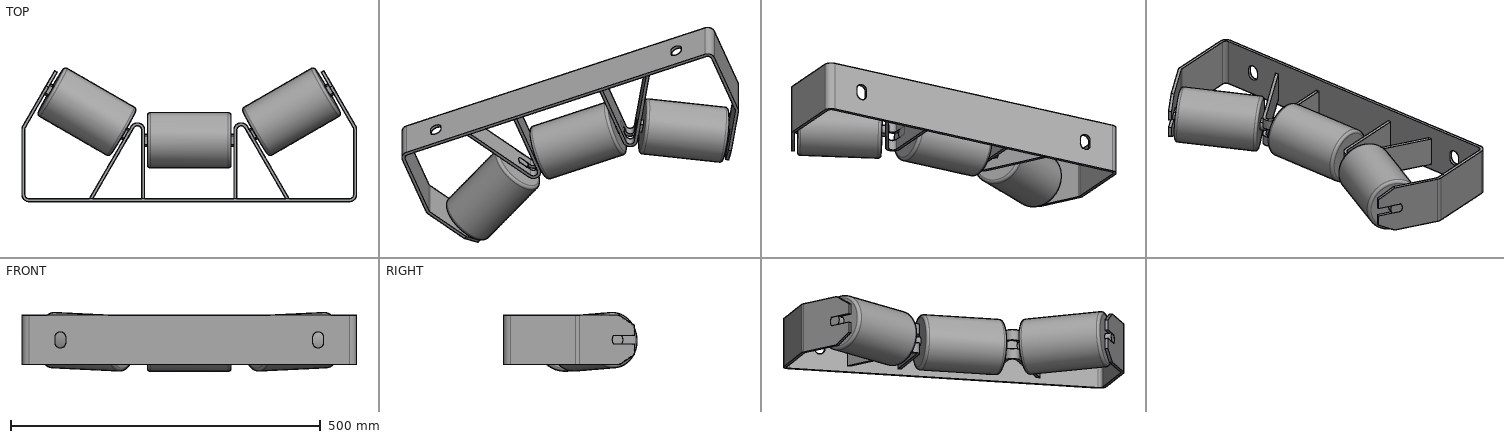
import cadquery as cq
import math


frame_length = 540.0
frame_height = 80.0
sheet = 5.0
bend_radius = 12.0
lean = 30.0

arm_corner_y = 120.0
arm_length = 106.0
arm_chamfer_length = 28.0
arm_chamfer_height = 16.0

mount_slot_spacing = 416.0
mount_slot_width = 18.0
mount_slot_height = 26.0

roller_diameter = 89.5
roller_length = 135.0
roller_fillet = 5.0
shaft_diameter = 20.0
shaft_flat_height = 14.0

bay_width = 143.5
middle_roller_y = 99.5
middle_roller_z = -6.0
side_roller_reach = 43.0
side_roller_z = -2.95
side_roller_tilt = 2.4

support_top_y = 127.5
support_height = 48.0

along = cq.Vector(math.sin(math.radians(lean)), math.cos(math.radians(lean)))
across = cq.Vector(along.y, -along.x)

bend_center = cq.Vector(-bay_width / 2 - bend_radius, support_top_y - bend_radius)
arm_corner = cq.Vector(-frame_length / 2, arm_corner_y)
arm_tip = arm_corner + along * arm_length

leg_face = bend_center.dot(across) - bend_radius
arm_face = arm_corner.dot(across) + sheet
side_bay_width = leg_face - arm_face
side_roller_center = across * ((leg_face + arm_face) / 2) + along * side_roller_reach


def mirrored(left):
    """Copy of a left-hand shape on the right-hand side."""
    return left.mirror("YZ")


def place_side(shape):
    """Move a shape lying along X at the origin to the left roller position."""
    tilted = shape.rotate((0, 0, 0), (0, 1, 0), side_roller_tilt)
    turned = tilted.rotate((0, 0, 0), (0, 0, 1), -lean)
    return turned.translate((side_roller_center.x, side_roller_center.y, side_roller_z))


def place_middle(shape):
    """Move a shape lying along X at the origin to the middle roller position."""
    return shape.translate((0, middle_roller_y, middle_roller_z))


def make_shaft(length):
    """Round bar along X with a flat on its top and bottom."""
    bar = cq.Workplane("YZ").circle(shaft_diameter / 2).extrude(length / 2, both=True)
    flats = cq.Workplane("XY").box(length, shaft_diameter, shaft_flat_height)
    return bar.intersect(flats)


def make_roller(bay):
    """Roller along X whose shaft ends reach through the sheets on both sides of its bay."""
    drum = cq.Workplane("YZ", origin=(-roller_length / 2, 0, 0))
    drum = drum.circle(roller_diameter / 2).extrude(roller_length)
    drum = drum.edges("%CIRCLE").fillet(roller_fillet)
    return drum.union(make_shaft(bay + 2 * sheet))


def make_shaft_slot(bay, depth):
    """Cutter for a pair of open shaft slots running in +Y from a shaft along X."""
    length = bay + 2 * bend_radius
    opening = cq.Workplane("XY").box(length, depth, shaft_flat_height).translate((0, depth / 2, 0))
    return make_shaft(length).union(opening)


def left_path(inset):
    """Corner points of the left half of the strip, moved inwards from its outer face by an inset."""
    x = frame_length / 2 - inset
    corner_y = arm_corner_y - inset * math.tan(math.radians(lean / 2))
    tip = arm_tip + across * inset
    return [(-x, inset), (-x, corner_y), (tip.x, tip.y)]


def flipped(path):
    """The same path on the right half."""
    return [(-x, y) for x, y in path]


def round_bends(strip, path, radius):
    """Round the upright edges at the first two corners of a path, on both halves."""
    for x, y in path[:2] + flipped(path[:2]):
        strip = strip.edges(cq.selectors.NearestToPointSelector((x, y, 0))).fillet(radius)
    return strip


def make_strip():
    """Back wall, side walls and end arms bent from one strip."""
    outer = left_path(0)
    inner = left_path(sheet)
    outline = outer[::-1] + flipped(outer) + flipped(inner[::-1]) + inner
    strip = cq.Workplane("XY").polyline(outline).close().extrude(frame_height / 2, both=True)
    strip = round_bends(strip, outer, bend_radius)
    return round_bends(strip, inner, bend_radius - sheet)


def make_arm_chamfer():
    """Cutter for the two corners at the tip of the left arm."""
    plane = cq.Plane(
        origin=(arm_tip.x, arm_tip.y, 0), xDir=(along.x, along.y, 0), normal=(across.x, across.y, 0)
    )
    top = frame_height / 2
    corners = cq.Workplane(plane)
    for side in (-1, 1):
        corners = corners.polyline(
            [
                (-arm_chamfer_length, side * top),
                (0, side * top),
                (0, side * (top - arm_chamfer_height)),
            ]
        ).close()
    return corners.extrude(2 * sheet, both=True)


def make_mount_slots():
    """Cutter for the upright slots in the back wall."""
    return (
        cq.Workplane("XZ")
        .pushPoints([(-mount_slot_spacing / 2, 0), (mount_slot_spacing / 2, 0)])
        .slot2D(mount_slot_height, mount_slot_width, 90)
        .extrude(2 * sheet, both=True)
    )


def make_support():
    """Left support: a straight leg and a leaning leg joined by a round bend."""
    def side_points(radius):
        straight = bend_center + cq.Vector(radius, 0)
        crown = bend_center + cq.Vector(0, radius)
        leaning = bend_center - across * radius
        foot = leaning - along * ((leaning.y - sheet) / along.y)
        return straight, crown, leaning, foot

    straight, crown, leaning, foot = side_points(bend_radius)
    in_straight, in_crown, in_leaning, in_foot = side_points(bend_radius - sheet)
    return (
        cq.Workplane("XY")
        .moveTo(straight.x, sheet)
        .lineTo(straight.x, straight.y)
        .threePointArc(crown.toTuple()[:2], leaning.toTuple()[:2])
        .lineTo(foot.x, foot.y)
        .lineTo(in_foot.x, in_foot.y)
        .lineTo(in_leaning.x, in_leaning.y)
        .threePointArc(in_crown.toTuple()[:2], in_straight.toTuple()[:2])
        .lineTo(in_straight.x, sheet)
        .close()
        .extrude(support_height / 2, both=True)
        .translate((0, 0, middle_roller_z))
    )


def make_frame():
    """Strip and supports welded together, with the middle roller fixed between the supports."""
    left_support = make_support()
    left_slots = place_side(make_shaft_slot(side_bay_width, arm_length))
    left_chamfer = make_arm_chamfer()
    body = make_strip().union(left_support).union(mirrored(left_support))
    for cutter in (left_slots, left_chamfer):
        body = body.cut(cutter).cut(mirrored(cutter))
    body = body.cut(place_middle(make_shaft_slot(bay_width, arm_length)))
    body = body.cut(make_mount_slots())
    return body.union(place_middle(make_roller(bay_width)), clean=False)


frame = make_frame()
left_roller = place_side(make_roller(side_bay_width))
side_rollers = [left_roller, mirrored(left_roller)]

result = cq.Compound.makeCompound([frame.val(), *(roller.val() for roller in side_rollers)])